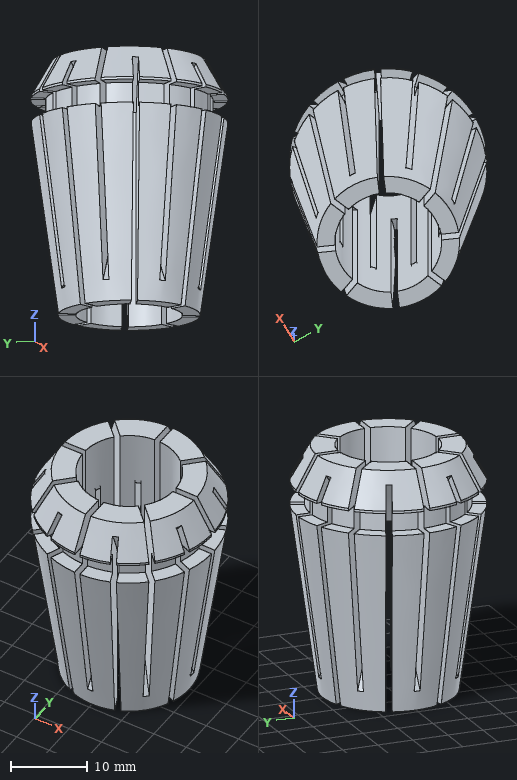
import cadquery as cq
import math

height = 34.0
rim_radius = 13.0
bore_radius = 7.0

lower_taper_angle = 8.0
top_taper_angle = 30.0
groove_bottom = 25.85
groove_top = 28.95
groove_radius = 11.0
rim_band = 0.35
base_radius = rim_radius - groove_bottom * math.tan(math.radians(lower_taper_angle))
top_taper_start = groove_top + rim_band
top_radius = rim_radius - (height - top_taper_start) * math.tan(math.radians(top_taper_angle))

slit_count = 8
slit_pitch = 360 / slit_count
slit_width = 0.8
upper_slit_floor_outer = 2.8
upper_slit_floor_inner = 8.0
lower_slit_roof_outer = 32.35
lower_slit_roof_inner = 25.75
saw_radius = 31.28


def make_body():
    """Revolved sleeve, drawn as a half section in radius and height."""
    section = [
        (bore_radius, 0),
        (base_radius, 0),
        (rim_radius, groove_bottom),
        (groove_radius, groove_bottom),
        (groove_radius, groove_top),
        (rim_radius, groove_top),
        (rim_radius, top_taper_start),
        (top_radius, height),
        (bore_radius, height),
    ]
    return cq.Workplane("XZ").polyline(section).close().revolve(360, (0, 0), (0, 1))


def slit_cutter(inner_end, outer_end, end_radius, open_height):
    """Radial slab whose closed end is a shallow saw arc bulging into the wall.

    The arc passes through bore_radius at inner_end and end_radius at outer_end,
    and runs on straight beyond those two points.
    """
    run = end_radius - bore_radius
    rise = outer_end - inner_end
    chord = math.hypot(run, rise)
    sag = saw_radius - math.sqrt(saw_radius**2 - (chord / 2) ** 2)
    inward = -abs(rise) / chord
    away = math.copysign(run / chord, inner_end - open_height)
    arc_middle = (
        (bore_radius + end_radius) / 2 + sag * inward,
        (inner_end + outer_end) / 2 + sag * away,
    )
    near = bore_radius / 2
    far = rim_radius + slit_width
    section_start = (near, inner_end + rise / run * (near - bore_radius))
    section_end = (far, outer_end + rise / run * (far - end_radius))
    return (
        cq.Workplane("XZ")
        .moveTo(*section_start)
        .lineTo(bore_radius, inner_end)
        .threePointArc(arc_middle, (end_radius, outer_end))
        .lineTo(*section_end)
        .lineTo(far, open_height)
        .lineTo(near, open_height)
        .close()
        .extrude(slit_width / 2, both=True)
    )


def cut_slits(body, cutter, start_angle):
    """Cut one ring of equally spaced slits."""
    for index in range(slit_count):
        angle = start_angle + index * slit_pitch
        body = body.cut(cutter.rotate((0, 0, 0), (0, 0, 1), angle))
    return body


upper_slit_end_radius = base_radius + upper_slit_floor_outer * math.tan(math.radians(lower_taper_angle))
lower_slit_end_depth = height - lower_slit_roof_outer
lower_slit_end_radius = top_radius + lower_slit_end_depth * math.tan(math.radians(top_taper_angle))

upper_slit = slit_cutter(
    upper_slit_floor_inner,
    upper_slit_floor_outer,
    upper_slit_end_radius,
    height + slit_width,
)
lower_slit = slit_cutter(
    lower_slit_roof_inner,
    lower_slit_roof_outer,
    lower_slit_end_radius,
    -slit_width,
)

result = make_body()
result = cut_slits(result, upper_slit, 0)
result = cut_slits(result, lower_slit, slit_pitch / 2)